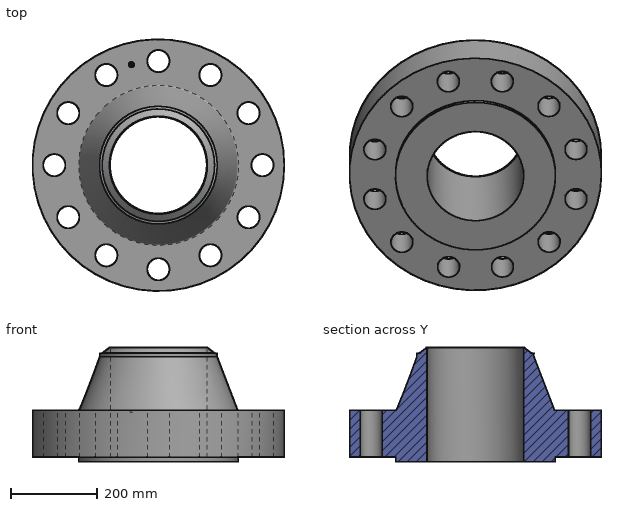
import cadquery as cq
import math

total_height = 265.0
raised_face_height = 11.0
flange_thickness = 108.5
weld_bevel_height = 13.0
neck_shoulder_rise = 1.0
neck_band_height = 7.5

flange_diameter = 584.0
raised_face_diameter = 371.0
hub_base_diameter = 368.0
neck_diameter = 273.0
bevel_base_diameter = 260.5
bevel_top_diameter = 227.0
bore_diameter = 223.5

hub_fillet_radius = 3.0

bolt_count = 12
bolt_circle_diameter = 482.5
bolt_hole_diameter = 51.0

recess_diameter = 13.0
recess_floor_diameter = 10.0
recess_depth = 2.0
center_hole_diameter = 4.5
center_hole_depth = 3.5

flange_bottom = raised_face_height
flange_top = flange_bottom + flange_thickness
bevel_base = total_height - weld_bevel_height
neck_top = bevel_base - neck_shoulder_rise
hub_top = neck_top - neck_band_height

edge_search_margin = 0.5
bolt_pitch_angle = 360.0 / bolt_count
bolt_circle_radius = bolt_circle_diameter / 2


def revolve_section(section):
    """Turn a closed half section of (radius, height) points about the Z axis."""
    return cq.Workplane("XZ").polyline(section).close().revolve(360, (0, 0, 0), (0, 1, 0))


def make_body():
    """Flange, raised face, tapered hub and weld bevel, with a fillet where the hub meets the flange."""
    section = [
        (bore_diameter / 2, 0),
        (raised_face_diameter / 2, 0),
        (raised_face_diameter / 2, flange_bottom),
        (flange_diameter / 2, flange_bottom),
        (flange_diameter / 2, flange_top),
        (hub_base_diameter / 2, flange_top),
        (neck_diameter / 2, hub_top),
        (neck_diameter / 2, neck_top),
        (bevel_base_diameter / 2, bevel_base),
        (bevel_top_diameter / 2, total_height),
        (bore_diameter / 2, total_height),
    ]
    body = revolve_section(section)
    flange_top_circles = body.edges(cq.selectors.BoxSelector(
        (-flange_diameter, -flange_diameter, flange_top - edge_search_margin),
        (flange_diameter, flange_diameter, flange_top + edge_search_margin),
    ))
    hub_base_circle = flange_top_circles.edges(cq.selectors.RadiusNthSelector(0))
    return hub_base_circle.fillet(hub_fillet_radius)


def make_bolt_holes():
    """Through holes spaced evenly on the bolt circle."""
    return (
        cq.Workplane("XY")
        .polarArray(bolt_circle_radius, 0, 360, bolt_count)
        .circle(bolt_hole_diameter / 2)
        .extrude(flange_top)
    )


def make_recess():
    """Shallow tapered recess and blind center hole, half a bolt pitch past the +Y bolt hole."""
    recess_floor = flange_top - recess_depth
    hole_bottom = recess_floor - center_hole_depth
    section = [
        (0, flange_top),
        (recess_diameter / 2, flange_top),
        (recess_floor_diameter / 2, recess_floor),
        (center_hole_diameter / 2, recess_floor),
        (center_hole_diameter / 2, hole_bottom),
        (0, hole_bottom),
    ]
    angle = math.radians(90 + bolt_pitch_angle / 2)
    x = bolt_circle_radius * math.cos(angle)
    y = bolt_circle_radius * math.sin(angle)
    return revolve_section(section).translate((x, y, 0))


result = make_body().cut(make_bolt_holes()).cut(make_recess())